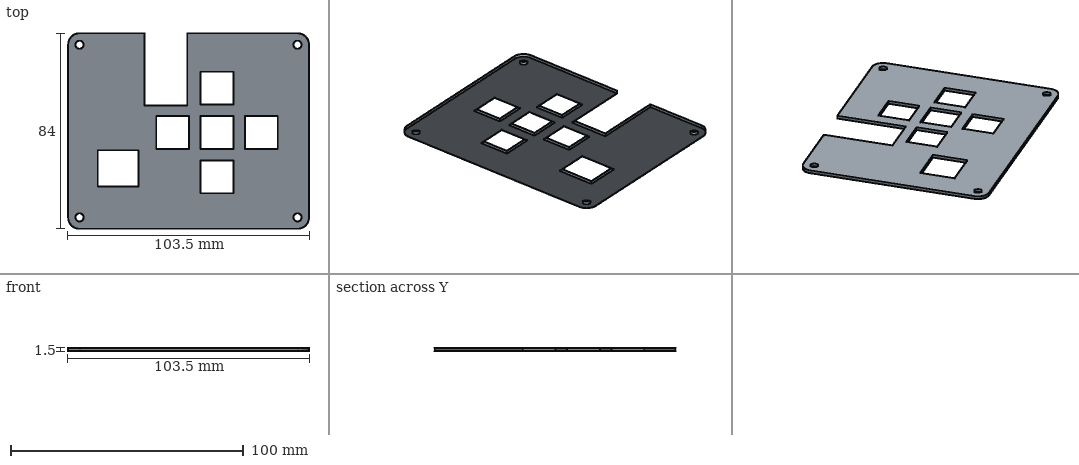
import cadquery as cq

plate_length = 103.5
plate_width = 84.0
plate_thickness = 1.5
corner_radius = 5.0

hole_diameter = 3.4
hole_spacing_x = plate_length - 2 * corner_radius
hole_spacing_y = plate_width - 2 * corner_radius

square_side = 14.0
square_pitch = 19.0
cross_center_x = 12.2
cross_center_y = -0.6

window_length = 17.4
window_width = 15.5
window_center_x = -30.2
window_center_y = -16.0

notch_width = 18.2
notch_depth = 31
notch_center_x = -9.7


def through_box(length, width, center_x, center_y):
    """Rectangular cutter spanning the plate thickness."""
    return (
        cq.Workplane("XY")
        .center(center_x, center_y)
        .rect(length, width)
        .extrude(plate_thickness)
    )


plate = (
    cq.Workplane("XY")
    .rect(plate_length, plate_width)
    .extrude(plate_thickness)
    .edges("|Z")
    .fillet(corner_radius)
)

plate = (
    plate.faces(">Z")
    .workplane(origin=(0, 0, plate_thickness))
    .rect(hole_spacing_x, hole_spacing_y, forConstruction=True)
    .vertices()
    .hole(hole_diameter)
)

for step_x, step_y in [(0, 0), (1, 0), (-1, 0), (0, 1), (0, -1)]:
    square_x = cross_center_x + step_x * square_pitch
    square_y = cross_center_y + step_y * square_pitch
    plate = plate.cut(through_box(square_side, square_side, square_x, square_y))

plate = plate.cut(through_box(window_length, window_width, window_center_x, window_center_y))

notch_center_y = (plate_width - notch_depth) / 2
plate = plate.cut(through_box(notch_width, notch_depth, notch_center_x, notch_center_y))

result = plate